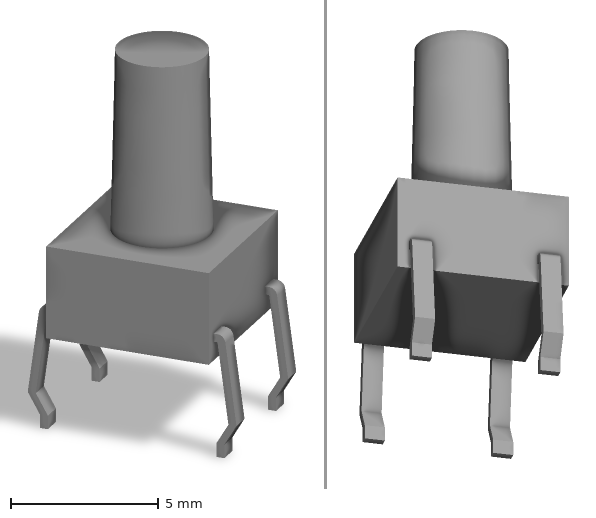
import cadquery as cq

TOTAL_HEIGHT = 13.5
SIDE = 6.0
BASE_BOTTOM = 3.52
COVER_TOP = 6.9
COVER_THICKNESS = 0.25

BUTTON_BASE_DIAMETER = 3.51
BUTTON_TOP_DIAMETER = 3.2

LEG_SPAN = 7.7
LEG_WIDTH = 0.7
LEG_SPACING = 4.5
LEG_THICKNESS = 0.3
SHOULDER_TOP = 4.52
SHOULDER_RADIUS = 0.3
KNEE_HEIGHT = 1.25
FOOT_HEIGHT = 0.5
FOOT_OUTER_X = 3.4

cover_bottom = COVER_TOP - COVER_THICKNESS
knee_outer_x = LEG_SPAN / 2
knee_inner_x = knee_outer_x - LEG_THICKNESS
foot_inner_x = FOOT_OUTER_X - LEG_THICKNESS
shoulder_bottom = SHOULDER_TOP - LEG_THICKNESS
leg_slope = (knee_outer_x - FOOT_OUTER_X) / (SHOULDER_TOP - KNEE_HEIGHT)
shoulder_inner_x = foot_inner_x + leg_slope * LEG_THICKNESS


def square_block(bottom, top):
    """Square block centred on the Z axis."""
    return cq.Workplane("XY").workplane(offset=bottom).rect(SIDE, SIDE).extrude(top - bottom)


def make_leg(x_side, y_center):
    """Bent leg rising to a side face of the base; x_side is +1 or -1."""
    profile = [
        (SIDE / 2, SHOULDER_TOP),
        (FOOT_OUTER_X, SHOULDER_TOP),
        (knee_outer_x, KNEE_HEIGHT),
        (FOOT_OUTER_X, FOOT_HEIGHT),
        (FOOT_OUTER_X, 0),
        (foot_inner_x, 0),
        (foot_inner_x, FOOT_HEIGHT),
        (knee_inner_x, KNEE_HEIGHT),
        (shoulder_inner_x, shoulder_bottom),
        (SIDE / 2, shoulder_bottom),
    ]
    leg = (
        cq.Workplane("XZ", origin=(0, y_center, 0))
        .polyline([(x_side * x, z) for x, z in profile])
        .close()
        .extrude(LEG_WIDTH / 2, both=True)
    )
    outer_corner = cq.selectors.NearestToPointSelector((x_side * FOOT_OUTER_X, y_center, SHOULDER_TOP))
    return leg.edges("|Y").edges(outer_corner).fillet(SHOULDER_RADIUS)


def make_base():
    """Moulded block with four legs fixed to its sides."""
    base = square_block(BASE_BOTTOM, cover_bottom)
    for x_side in (-1, 1):
        for y_side in (-1, 1):
            base = base.union(make_leg(x_side, y_side * LEG_SPACING / 2))
    return base


def make_cover():
    """Thin plate lying on the base."""
    return square_block(cover_bottom, COVER_TOP)


def make_button():
    """Tapered round button standing on the cover."""
    return (
        cq.Workplane("XY")
        .workplane(offset=COVER_TOP)
        .circle(BUTTON_BASE_DIAMETER / 2)
        .workplane(offset=TOTAL_HEIGHT - COVER_TOP)
        .circle(BUTTON_TOP_DIAMETER / 2)
        .loft(ruled=True)
    )


base = make_base()
cover = make_cover()
button = make_button()

result = cq.Compound.makeCompound([base.val(), cover.val(), button.val()])